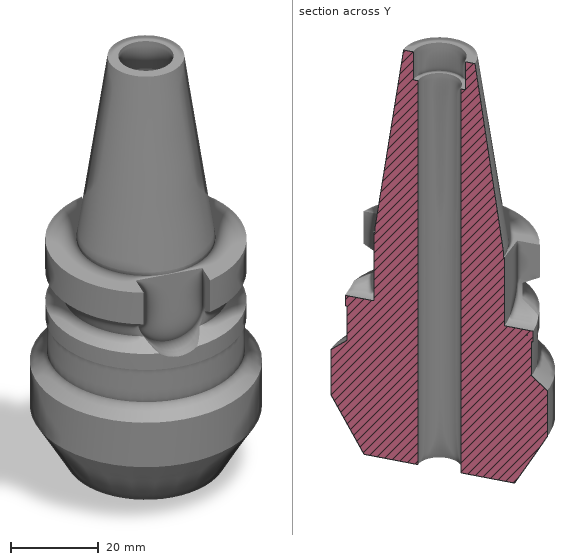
import cadquery as cq

total_height = 108.4
nose_top = 14.0
body_top = 26.0
shoulder_top = 29.2
collar_bottom = 38.0
collar_top = 42.4
groove_bottom = 44.7
groove_top = 48.1
flange_bottom = 50.4
flange_top = 59.0
taper_bottom = 59.8

nose_radius = 18.4
body_radius = 53.0 / 2
waist_radius = 22.7
flange_radius = 23.0
groove_radius = 19.1
taper_large_radius = 15.8
taper_small_radius = 8.8

bore_radius = 5.2
counterbore_radius = 6.3
counterbore_depth = 7.4

slot_width = 16.0
slot_floor_offset = 16.0
slot_bottom = 41.0


def make_holder():
    """Revolve the half outline of the tool holder about Z."""
    outline = [
        (0, 0),
        (nose_radius, 0),
        (body_radius, nose_top),
        (body_radius, body_top),
        (waist_radius, shoulder_top),
        (waist_radius, collar_bottom),
        (flange_radius, collar_bottom),
        (flange_radius, collar_top),
        (groove_radius, groove_bottom),
        (groove_radius, groove_top),
        (flange_radius, flange_bottom),
        (flange_radius, flange_top),
        (taper_large_radius, flange_top),
        (taper_large_radius, taper_bottom),
        (taper_small_radius, total_height),
        (0, total_height),
    ]
    return cq.Workplane("XZ").polyline(outline).close().revolve(360, (0, 0), (0, 1))


def make_bore():
    """Through bore with a counterbore in the small end of the taper."""
    bore = cq.Workplane("XY").circle(bore_radius).extrude(total_height)
    counterbore = (
        cq.Workplane("XY", origin=(0, 0, total_height))
        .circle(counterbore_radius)
        .extrude(-counterbore_depth)
    )
    return bore.union(counterbore)


def make_drive_slot(side):
    """Round-bottomed slot, open at the flange top; side is -1 or +1 along X."""
    half_width = slot_width / 2
    arc_center = slot_bottom + half_width
    return (
        cq.Workplane("YZ", origin=(side * slot_floor_offset, 0, 0))
        .moveTo(-half_width, flange_top)
        .lineTo(-half_width, arc_center)
        .threePointArc((0, slot_bottom), (half_width, arc_center))
        .lineTo(half_width, flange_top)
        .close()
        .extrude(side * (flange_radius - slot_floor_offset))
    )


result = make_holder().cut(make_bore())
for side in (-1, 1):
    result = result.cut(make_drive_slot(side))